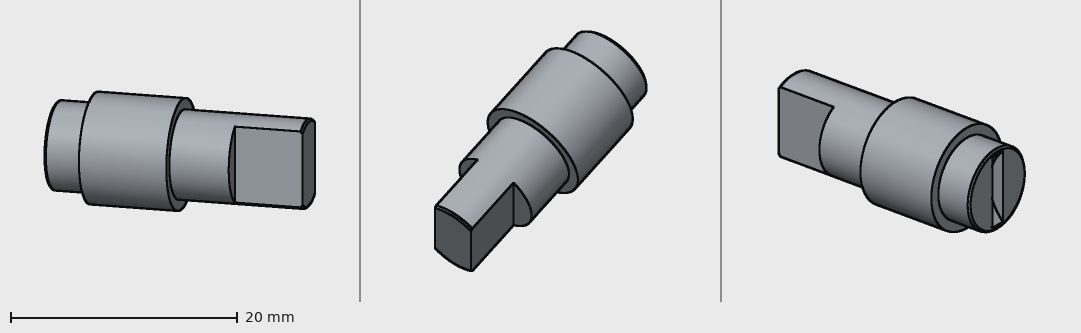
import cadquery as cq
import math

total_length = 23.15
head_length = 3.5
collar_length = 8.0
collar_diameter = 10.0
shaft_diameter = 8.0
end_chamfer = 0.19

flat_length = 6.2
flat_thickness = 4.0

slot_width = 1.5
slot_height = 7.05
slot_floor_radius = 4.85


def stepped_shaft():
    """Full-length shaft with chamfered ends and a larger collar."""
    shaft = (
        cq.Workplane("YZ")
        .circle(shaft_diameter / 2)
        .extrude(total_length)
        .faces("<X or >X")
        .chamfer(end_chamfer)
    )
    collar = (
        cq.Workplane("YZ", origin=(head_length, 0, 0))
        .circle(collar_diameter / 2)
        .extrude(collar_length)
    )
    return shaft.union(collar)


def flat_cutter(side):
    """Block that removes the shaft outside one flat; side is +1 or -1 along Y."""
    block_depth = shaft_diameter / 2
    return cq.Workplane("XY").box(flat_length, block_depth, shaft_diameter).translate(
        (
            total_length - flat_length / 2,
            side * (flat_thickness + block_depth) / 2,
            0,
        )
    )


def slot_cutter():
    """Disc lying across Y whose rim forms the arched slot floor."""
    centre_offset = math.sqrt(slot_floor_radius**2 - (slot_height / 2) ** 2)
    return (
        cq.Workplane("XZ", origin=(-centre_offset, 0, 0))
        .circle(slot_floor_radius)
        .extrude(slot_width / 2, both=True)
    )


result = stepped_shaft()
for side in (-1, 1):
    result = result.cut(flat_cutter(side))
result = result.cut(slot_cutter())